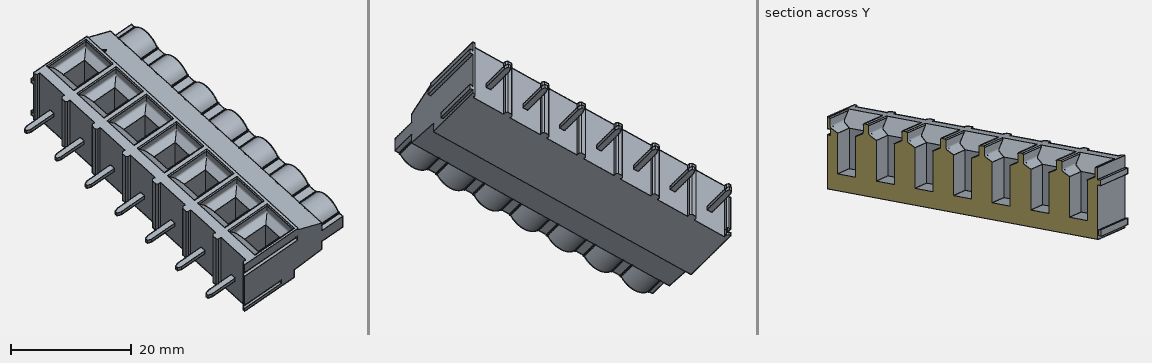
import cadquery as cq
import math


pole_count = 7
pitch = 7.62
body_length = pole_count * pitch
pole_centres = [(index + 0.5) * pitch for index in range(pole_count)]

front_gap = 0.8
body_depth = 16.9
body_height = 12.5
roof_front_y = 11.7
roof_front_z = 12.1
roof_back_z = 9.55
foot_depth = 10.9
belly_front_z = 2.0
belly_back_z = 2.5

overall_depth = 21.5
barrel_diameter = 6.5
barrel_z = 6.05
barrel_end_chamfer = 0.15
web_height = 2.9
barrel_flank_width = 5.95
barrel_flank_height = 3.35

rib_width = 1.4
rib_chamfer = 0.3

rim_width = 6.85
rim_front_y = 2.6
rim_back_y = 11.2
rim_chamfer = 0.2
mouth_depth = 1.75
funnel_depth = 0.75
funnel_blend_radius = 0.4
throat_width = 3.45
throat_front_y = 4.8
throat_back_y = 9.4
throat_floor_z = 3.0

pin_width = 1.0
pin_thickness = 0.8
pin_length = 5.0
pin_z = 4.65
pin_tip_length = 0.7
pin_tip_width = 0.5
pin_root = 1.0

rail_height = 0.55
upper_rail_width = 1.0
upper_rail_z = 9.9
upper_rail_length = 11.6
lower_rail_z = 1.2
lower_rail_length = 8.1
lower_rail_root_width = 0.85
lower_rail_tip_width = 1.15

mark_width = 0.6
mark_length = 0.6
mark_front_offset = 0.45
mark_height = 0.1


def box(x_start, x_end, y_start, y_end, z_start, z_end):
    size = (x_end - x_start, y_end - y_start, z_end - z_start)
    return cq.Workplane("XY").box(*size, centered=False).translate((x_start, y_start, z_start))


def make_housing():
    profile = [
        (front_gap, 0),
        (foot_depth, 0),
        (foot_depth, belly_front_z),
        (body_depth, belly_back_z),
        (body_depth, roof_back_z),
        (roof_front_y, roof_front_z),
        (roof_front_y, body_height),
        (front_gap, body_height),
    ]
    return cq.Workplane("YZ").polyline(profile).close().extrude(body_length)


def make_spacer_ribs():
    half = rib_width / 2
    section = [
        (-half, front_gap),
        (-half, rib_chamfer),
        (-half + rib_chamfer, 0),
        (half - rib_chamfer, 0),
        (half, rib_chamfer),
        (half, front_gap),
    ]
    rib = cq.Workplane("XY").polyline(section).close().extrude(body_height)
    ribs = cq.Workplane("XY")
    for index in range(pole_count + 1):
        ribs = ribs.add(rib.translate((index * pitch, 0, 0)))
    envelope = box(0, body_length, 0, front_gap, 0, body_height)
    return ribs.combine().intersect(envelope)


def make_barrels():
    depth = overall_depth - body_depth
    web_bottom_z = barrel_z - web_height / 2
    web_top_z = barrel_z + web_height / 2
    row = box(0, body_length, body_depth, overall_depth, web_bottom_z, web_top_z)
    barrel = (
        cq.Workplane("XZ")
        .circle(barrel_diameter / 2)
        .extrude(-depth)
        .faces(">Y")
        .chamfer(barrel_end_chamfer)
    )
    flanks = cq.Workplane("XZ").rect(barrel_flank_width, barrel_flank_height).extrude(-depth)
    barrel = barrel.union(flanks)
    for x in pole_centres:
        row = row.union(barrel.translate((x, body_depth, barrel_z)))
    return row


def loft_opening(width, back_y, front_y, lower_width, lower_back_y, lower_front_y, upper_z, depth):
    upper = cq.Workplane("XY", origin=(0, (front_y + back_y) / 2, upper_z)).rect(width, back_y - front_y)
    shift = (lower_front_y + lower_back_y - front_y - back_y) / 2
    lower = upper.workplane(offset=-depth).center(0, shift).rect(lower_width, lower_back_y - lower_front_y)
    return lower.loft(ruled=True)


def make_wire_opening():
    chamfer_z = body_height - rim_chamfer
    waist_z = body_height - mouth_depth
    throat_z = waist_z - funnel_depth
    mouth_width = rim_width - 2 * rim_chamfer
    mouth_back_y = rim_back_y - rim_chamfer

    ramp_run = throat_front_y - rim_front_y
    ramp_slope = ramp_run / (body_height - throat_z)
    chamfer_front_y = rim_front_y + ramp_slope * rim_chamfer
    waist_front_y = rim_front_y + ramp_slope * mouth_depth

    rim = loft_opening(
        rim_width, rim_back_y, rim_front_y,
        mouth_width, mouth_back_y, chamfer_front_y,
        body_height, rim_chamfer,
    )
    mouth = loft_opening(
        mouth_width, mouth_back_y, chamfer_front_y,
        mouth_width, mouth_back_y, waist_front_y,
        chamfer_z, chamfer_z - waist_z,
    )
    funnel = loft_opening(
        mouth_width, mouth_back_y, waist_front_y,
        throat_width, throat_back_y, throat_front_y,
        waist_z, funnel_depth,
    )
    half_throat = throat_width / 2
    shaft = box(-half_throat, half_throat, throat_front_y, throat_back_y, throat_floor_z, throat_z)

    reach = funnel_blend_radius / 10
    waist_edges = cq.selectors.BoxSelector(
        (-mouth_width, waist_front_y + reach, waist_z - reach),
        (mouth_width, mouth_back_y + reach, waist_z + reach),
    )
    tapered = mouth.union(funnel).edges(waist_edges).fillet(funnel_blend_radius)
    return tapered.union(rim).union(shaft)


def make_pin():
    half = pin_width / 2
    half_tip = pin_tip_width / 2
    shoulder_y = pin_tip_length - pin_length
    root_y = front_gap + pin_root
    outline = [
        (-half, root_y),
        (-half, shoulder_y),
        (-half_tip, -pin_length),
        (half_tip, -pin_length),
        (half, shoulder_y),
        (half, root_y),
    ]
    base = cq.Workplane("XY", origin=(0, 0, pin_z - pin_thickness / 2))
    return base.polyline(outline).close().extrude(pin_thickness)


def make_rails(root_x):
    tip_x = root_x - rail_height
    upper_bottom_z = upper_rail_z - upper_rail_width / 2
    upper_top_z = upper_rail_z + upper_rail_width / 2
    upper = box(tip_x, root_x, 0, upper_rail_length, upper_bottom_z, upper_top_z)
    half_root = lower_rail_root_width / 2
    half_tip = lower_rail_tip_width / 2
    dovetail = [
        (root_x, lower_rail_z - half_root),
        (root_x, lower_rail_z + half_root),
        (tip_x, lower_rail_z + half_tip),
        (tip_x, lower_rail_z - half_tip),
    ]
    lower = cq.Workplane("XZ").polyline(dovetail).close().extrude(-lower_rail_length)
    return upper.union(lower)


def make_pole_mark():
    roof_run = body_depth - roof_front_y
    roof_angle = math.atan((roof_front_z - roof_back_z) / roof_run)
    lift = mark_height / math.cos(roof_angle)
    front_y = roof_front_y + mark_front_offset
    back_y = front_y + mark_length
    half = mark_width / 2
    x = pole_centres[0]
    triangle = [(x - half, front_y), (x + half, front_y), (x, back_y)]
    prism = cq.Workplane("XY").polyline(triangle).close().extrude(body_height)

    layer = [
        (roof_front_y, roof_front_z - lift),
        (body_depth, roof_back_z - lift),
        (body_depth, roof_back_z + lift),
        (roof_front_y, roof_front_z + lift),
    ]
    return cq.Workplane("YZ").polyline(layer).close().extrude(body_length).intersect(prism)


block = make_housing().union(make_spacer_ribs()).union(make_barrels())
block = block.union(make_rails(0)).cut(make_rails(body_length))
block = block.union(make_pole_mark())

wire_opening = make_wire_opening()
pin = make_pin()
for pole_x in pole_centres:
    block = block.cut(wire_opening.translate((pole_x, 0, 0)))
    block = block.union(pin.translate((pole_x, 0, 0)))

result = block